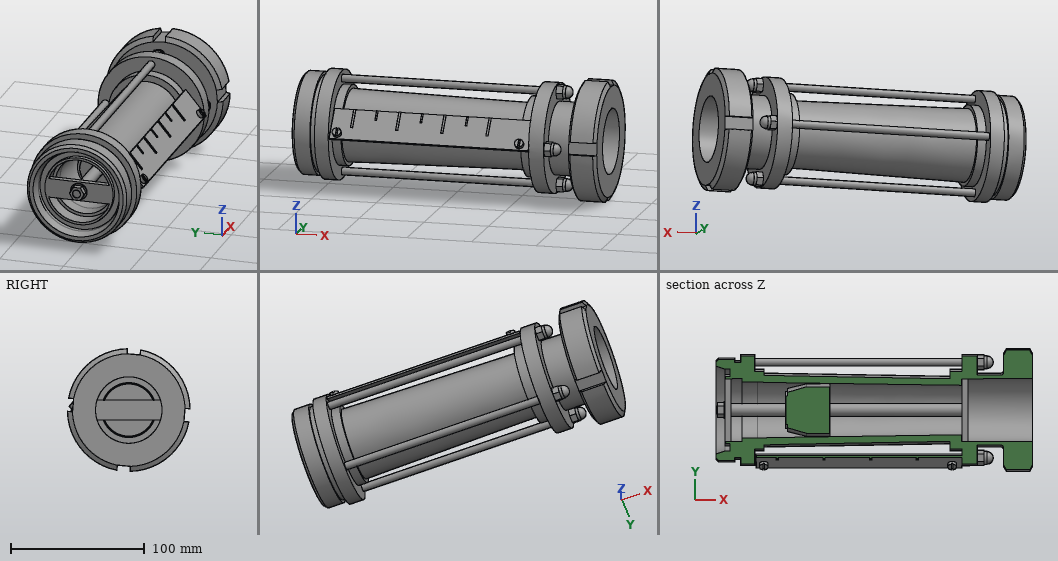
import cadquery as cq
import math


length = 237.0
inlet_ring_end = 14.2
front_flange_start = 18.5
front_flange_end = 29.2
front_collar_end = 36.0
rear_collar_start = 175.1
rear_flange_start = 184.1
rear_flange_end = 195.8
nut_start = 215.2

inlet_radius = 39.0
inlet_chamfer = 2.1
groove_radius = 37.0
flange_radius = 41.7
collar_radius = 30.5
glass_front_radius = 27.7
glass_rear_radius = 25.4
neck_radius = 27.7
neck_fillet = 2.1
nut_radius = 46.0
nut_bevel_length = 2.1
nut_face_radius = 42.2

mouth_radius = 34.0
mouth_floor_radius = 31.8
mouth_cone_depth = 6.6
mouth_depth = 10.5
guide_ring_start = 6.9
guide_ring_radius = 26.8
port_depth = 19.5
port_radius = 25.0
glass_bore_start = 31.0
glass_bore_front_radius = 22.5
glass_bore_rear_radius = 20.5

slot_count = 4
slot_width = 9.7
slot_floor_radius = 42.0
slot_turn = 5.0

rod_count = 4
rod_diameter = 6.0
rod_circle_radius = 35.8
cap_flats = 10.0
cap_hex_length = 5.0
cap_collar_length = 2.1
cap_dome_radius = 4.7

plate_start = 30.0
plate_lower_y = -43.4
plate_lower_z = -0.2
plate_width = 25.1
plate_thickness = 1.7
plate_tilt = 50.0
first_tick = 46.0
last_tick = 150.7
tick_count = 7
tick_pitch = (last_tick - first_tick) / (tick_count - 1)
long_tick = (1.7, 15.2)
short_tick = (1.2, 7.8)
tick_height = 0.5
screw_xs = (35.8, 176.8)
screw_from_edge = 4.5
screw_diameter = 6.6
screw_height = 2.8
screw_slot_width = 1.2
screw_slot_depth = 1.0

bar_width = 15.0
bar_thickness = 4.5
bar_embedment = 0.2
bar_end_radius = port_radius + bar_embedment
guide_nut_flats = 10.0
guide_nut_length = 4.7
guide_washer_radius = 6.5
guide_washer_length = 1.0
guide_overhang = 0.5
guide_stud_diameter = 6.2
guide_rod_diameter = 9.5
float_start = 52.1
float_face_radius = 14.0
float_rim_radius = 16.0
float_radius = 19.7
float_rim_length = 1.5
float_cone_length = 14.2
float_length = 33.2


def turned(profile):
    """Revolve a closed (x, radius) outline about the X axis."""
    return cq.Workplane("XY").polyline(profile).close().revolve(360, (0, 0, 0), (1, 0, 0))


def rod_along_x(start, end, radius):
    return cq.Workplane("YZ", origin=(start, 0, 0)).circle(radius).extrude(end - start)


def hexagon_along_x(start, thickness, flats):
    corners = flats / math.cos(math.pi / 6)
    return cq.Workplane("YZ", origin=(start, 0, 0)).polygon(6, corners).extrude(thickness)


def body():
    outline = (
        cq.Workplane("XY")
        .polyline(
            [
                (0, 0),
                (0, inlet_radius - inlet_chamfer),
                (inlet_chamfer, inlet_radius),
                (inlet_ring_end, inlet_radius),
                (inlet_ring_end, groove_radius),
                (front_flange_start, groove_radius),
                (front_flange_start, flange_radius),
                (front_flange_end, flange_radius),
                (front_flange_end, collar_radius),
                (front_collar_end, collar_radius),
                (front_collar_end, glass_front_radius),
                (rear_collar_start, glass_rear_radius),
                (rear_collar_start, collar_radius),
                (rear_flange_start, collar_radius),
                (rear_flange_start, flange_radius),
                (rear_flange_end, flange_radius),
                (rear_flange_end, neck_radius),
                (nut_start - neck_fillet, neck_radius),
            ]
        )
        .tangentArcPoint((nut_start, neck_radius + neck_fillet), relative=False)
        .lineTo(nut_start, nut_face_radius)
        .lineTo(nut_start + nut_bevel_length, nut_radius)
        .lineTo(length - nut_bevel_length, nut_radius)
        .lineTo(length, nut_face_radius)
        .lineTo(length, 0)
        .close()
    )
    blank = outline.revolve(360, (0, 0, 0), (1, 0, 0))
    passage = [
        (0, 0),
        (0, mouth_radius),
        (mouth_cone_depth, mouth_floor_radius),
        (mouth_depth, mouth_floor_radius),
        (mouth_depth, guide_ring_radius),
        (guide_ring_start, guide_ring_radius),
        (guide_ring_start, port_radius),
        (port_depth, port_radius),
        (port_depth, glass_bore_front_radius),
        (glass_bore_start, glass_bore_front_radius),
        (rear_flange_start, glass_bore_rear_radius),
        (rear_flange_start, port_radius),
        (length, port_radius),
        (length, 0),
    ]
    return blank.cut(turned(passage))


def spanner_slots():
    slot_depth = nut_radius - slot_floor_radius
    slot = (
        cq.Workplane("XY", origin=(nut_start, -slot_width / 2, slot_floor_radius))
        .rect(length - nut_start, slot_width, centered=False)
        .extrude(slot_depth)
    )
    return [
        slot.rotate((0, 0, 0), (1, 0, 0), i * 360 / slot_count - slot_turn) for i in range(slot_count)
    ]


def cap_nut():
    collar_start = rear_flange_end + cap_hex_length
    dome_start = collar_start + cap_collar_length
    nut = hexagon_along_x(rear_flange_end, cap_hex_length, cap_flats)
    nut = nut.union(rod_along_x(collar_start, dome_start, cap_flats / 2))
    return nut.union(cq.Workplane("XY").sphere(cap_dome_radius).translate((dome_start, 0, 0)))


def tie_rods():
    rod = rod_along_x(front_flange_end, rear_flange_start, rod_diameter / 2)
    rod = rod.union(cap_nut())
    rods = []
    for i in range(rod_count):
        angle = 2 * math.pi * i / rod_count
        place = (0, rod_circle_radius * math.cos(angle), rod_circle_radius * math.sin(angle))
        rods.append(rod.translate(place))
    return rods


def scale_plate():
    """Plate built flat (outer face at Z = 0, lower edge on X), then tilted into place."""
    plate = (
        cq.Workplane("XY", origin=(plate_start, 0, -plate_thickness))
        .rect(rear_flange_start - plate_start, plate_width, centered=False)
        .extrude(plate_thickness)
    )
    for i in range(tick_count):
        width, reach = short_tick if i % 2 else long_tick
        tick = (
            cq.Workplane("XY", origin=(first_tick + i * tick_pitch, plate_width - reach / 2, 0))
            .rect(width, reach)
            .extrude(tick_height)
        )
        plate = plate.union(tick)
    for x in screw_xs:
        head = cq.Workplane("XY", origin=(x, screw_from_edge, 0)).circle(screw_diameter / 2)
        head = head.extrude(screw_height)
        slot = cq.Workplane("XY", origin=(x, screw_from_edge, screw_height - screw_slot_depth))
        slot = slot.rect(screw_slot_width, screw_diameter).extrude(screw_slot_depth)
        plate = plate.union(head.cut(slot))
    plate = plate.rotate((0, 0, 0), (1, 0, 0), plate_tilt)
    return plate.translate((0, plate_lower_y, plate_lower_z))


def guide_bar(start):
    """Flat bar across the bore, its rounded ends let into the wall."""
    bar = cq.Workplane("YZ", origin=(start, 0, 0)).rect(2 * bar_end_radius, bar_width)
    return bar.extrude(bar_thickness).intersect(rod_along_x(start, start + bar_thickness, bar_end_radius))


def float_and_guide():
    front_bar = guide_ring_start
    rear_bar = rear_flange_start
    washer_start = front_bar - guide_washer_length
    nut = washer_start - guide_nut_length
    parts = guide_bar(front_bar).union(guide_bar(rear_bar))
    parts = parts.union(rod_along_x(washer_start, front_bar, guide_washer_radius))
    parts = parts.union(hexagon_along_x(nut, guide_nut_length, guide_nut_flats))
    parts = parts.union(rod_along_x(nut - guide_overhang, nut, guide_stud_diameter / 2))
    parts = parts.union(rod_along_x(front_bar, rear_bar, guide_rod_diameter / 2))
    rim_end = float_start + float_rim_length
    cone_end = rim_end + float_cone_length
    float_end = float_start + float_length
    weight = turned(
        [
            (float_start, 0),
            (float_start, float_face_radius),
            (rim_end, float_face_radius),
            (rim_end, float_rim_radius),
            (cone_end, float_radius),
            (float_end, float_radius),
            (float_end, 0),
        ]
    )
    return parts.union(weight)


result = body()
for slot in spanner_slots():
    result = result.cut(slot)
for rod in tie_rods():
    result = result.union(rod)
result = result.union(scale_plate()).union(float_and_guide())